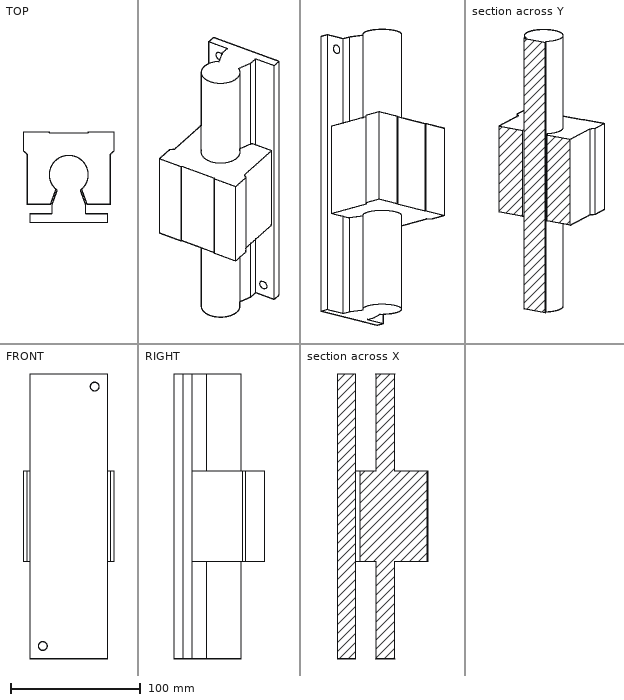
import cadquery as cq
import math

rail_length = 220.0
plate_width = 60.0
plate_thickness = 7.0

shaft_radius = 15.0
shaft_height = 37.0

neck_width = 26.0
neck_shoulder_height = 14.0
taper_angle = 20.0
neck_top_half_width = 9.0

hole_diameter = 6.5
hole_offset = 20.0
hole_end_distance = 10.0

carriage_size = 70.0
carriage_bottom = 14.0
carriage_top = 70.0
body_width = 64.2
shoulder_bottom = 55.2
shoulder_bevel_height = 2.5
relief_width = 30.0
relief_depth = 0.7

liner_radius = 20.0
slot_clearance = 1.0

taper_slope = math.tan(math.radians(taper_angle))
shaft_joint_height = shaft_height - math.sqrt(shaft_radius**2 - neck_top_half_width**2)
slot_bottom_half_width = neck_width / 2 + slot_clearance


def extrude_centered(profile, length):
    """Extrude an XY profile along Z, centered on Z = 0."""
    return profile.extrude(length / 2, both=True)


def shaft_cylinder(radius, length):
    profile = cq.Workplane("XY").center(0, shaft_height).circle(radius)
    return extrude_centered(profile, length)


def make_plate():
    profile = cq.Workplane("XY").rect(plate_width, plate_thickness)
    plate = extrude_centered(profile, rail_length).translate((0, plate_thickness / 2, 0))
    hole_z = rail_length / 2 - hole_end_distance
    hole_points = [(side * hole_offset, side * hole_z) for side in (-1, 1)]
    holes = (
        cq.Workplane("XZ")
        .pushPoints(hole_points)
        .circle(hole_diameter / 2)
        .extrude(-plate_thickness)
    )
    return plate.cut(holes)


def make_neck():
    half_width = neck_width / 2
    profile = (
        cq.Workplane("XY")
        .moveTo(0, plate_thickness)
        .lineTo(half_width, plate_thickness)
        .lineTo(half_width, neck_shoulder_height)
        .lineTo(neck_top_half_width, shaft_joint_height)
        .lineTo(neck_top_half_width, shaft_height)
        .lineTo(0, shaft_height)
        .mirrorY()
    )
    return extrude_centered(profile, rail_length)


def make_slot():
    """Wedge-shaped opening that lets the carriage clear the neck."""
    top_half_width = slot_bottom_half_width - taper_slope * (shaft_height - carriage_bottom)
    profile = cq.Workplane("XY").polyline(
        [
            (-slot_bottom_half_width, carriage_bottom),
            (slot_bottom_half_width, carriage_bottom),
            (top_half_width, shaft_height),
            (-top_half_width, shaft_height),
        ]
    ).close()
    return extrude_centered(profile, carriage_size)


def make_carriage_body():
    half_body = body_width / 2
    half_carriage = carriage_size / 2
    half_relief = relief_width / 2
    profile = (
        cq.Workplane("XY")
        .moveTo(0, carriage_bottom)
        .lineTo(half_body, carriage_bottom)
        .lineTo(half_body, shoulder_bottom - shoulder_bevel_height)
        .lineTo(half_carriage, shoulder_bottom)
        .lineTo(half_carriage, carriage_top)
        .lineTo(half_relief, carriage_top)
        .lineTo(half_relief, carriage_top - relief_depth)
        .lineTo(0, carriage_top - relief_depth)
        .mirrorY()
    )
    return extrude_centered(profile, carriage_size)


slot = make_slot()
shaft = shaft_cylinder(shaft_radius, rail_length)
rail = make_plate().union(make_neck()).union(shaft)

carriage_bore = shaft_cylinder(liner_radius, carriage_size)
carriage = make_carriage_body().cut(carriage_bore).cut(slot)
liner = carriage_bore.cut(shaft).cut(slot)

result = rail.union(liner, clean=False).union(carriage, clean=False)